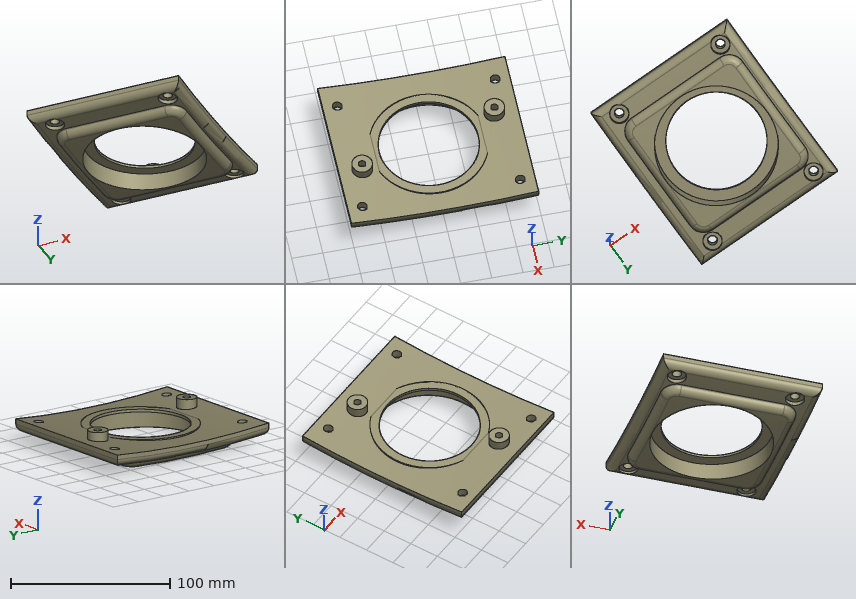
import cadquery as cq
import math

plate_width = 104.5
plate_length = 120
plate_thickness = 7.9
plate_edge_radius = 5.0
rise_at_ends = 2.8
bend_radius = ((plate_length / 2) ** 2 + rise_at_ends ** 2) / (2 * rise_at_ends)

total_height = 21.0
plate_middle_top = 13.3
plate_middle_bottom = plate_middle_top - plate_thickness
bend_center_z = plate_middle_top + bend_radius

opening_x = 1.7
bore_diameter = 63.5
cavity_diameter = 77.8
lip_thickness = 1.8

seat_diameter = 75.1
seat_half_length = 34.62
seat_top = bend_center_z - math.sqrt(bend_radius ** 2 - seat_half_length ** 2)

collar_size = 88.3
collar_corner_radius = 10.2
collar_edge_radius = 5.0

hole_diameter = 6
hole_pitch_x = 77.8
hole_pitch_y = 101.2
counterbore_diameter = 12
counterbore_top = 9.6

boss_diameter = 13.0
boss_hole_diameter = 4.5
boss_hole_depth = 6
boss_x = 12.6
boss_y = 45.0


def cylinder(diameter, x, y, bottom, top):
    """Upright cylinder between two heights."""
    base = cq.Workplane("XY", origin=(x, y, bottom))
    return base.circle(diameter / 2).extrude(top - bottom)


def curved_slab(width, center_x, top, thickness):
    """Slab bent about an axis along X, with upright end faces."""
    half = plate_length / 2
    bottom = top - thickness
    end_top = bend_center_z - math.sqrt((bend_center_z - top) ** 2 - half ** 2)
    end_bottom = bend_center_z - math.sqrt((bend_center_z - bottom) ** 2 - half ** 2)
    return (
        cq.Workplane("YZ", origin=(center_x - width / 2, 0, 0))
        .moveTo(-half, end_top)
        .threePointArc((0, top), (half, end_top))
        .lineTo(half, end_bottom)
        .threePointArc((0, bottom), (-half, end_bottom))
        .close()
        .extrude(width)
    )


def make_plate():
    slab = curved_slab(plate_width, 0, plate_middle_top, plate_thickness)
    return slab.faces("<Z").edges().fillet(plate_edge_radius)


def make_collar():
    collar_top = plate_middle_top - plate_thickness / 2
    outline = (
        cq.Workplane("XY")
        .center(opening_x, 0)
        .rect(collar_size, collar_size)
        .extrude(total_height)
        .edges("|Z")
        .fillet(collar_corner_radius)
    )
    collar = curved_slab(collar_size, opening_x, collar_top, collar_top).intersect(outline)
    return collar.faces("<Z").edges().fillet(collar_edge_radius)


def make_bosses():
    bottom = plate_middle_top
    first = cylinder(boss_diameter, -boss_x, boss_y, bottom, total_height)
    return first.union(cylinder(boss_diameter, boss_x, -boss_y, bottom, total_height))


seat = cylinder(seat_diameter, opening_x, 0, plate_middle_bottom, seat_top)
result = make_plate().union(make_collar()).union(seat).union(make_bosses())

result = result.cut(cylinder(cavity_diameter, opening_x, 0, 0, seat_top - lip_thickness))
result = result.cut(cylinder(bore_diameter, opening_x, 0, 0, total_height))

for side_x in (-1, 1):
    for side_y in (-1, 1):
        x = opening_x + side_x * hole_pitch_x / 2
        y = side_y * hole_pitch_y / 2
        result = result.cut(cylinder(hole_diameter, x, y, 0, total_height))
        result = result.cut(cylinder(counterbore_diameter, x, y, 0, counterbore_top))

for side in (-1, 1):
    hole_bottom = total_height - boss_hole_depth
    result = result.cut(
        cylinder(boss_hole_diameter, side * boss_x, -side * boss_y, hole_bottom, total_height)
    )